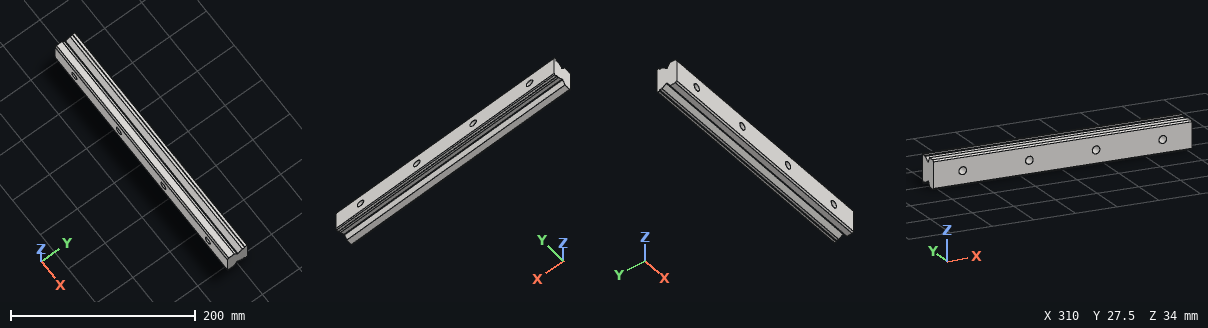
import cadquery as cq

length = 310.0
depth = 27.5
height = 34.0

front_chamfer = 2.0
back_chamfer_y = 1.0
back_chamfer_z = 2.0
head_width = 9.5
groove_drop = 6.0
groove_floor_start = 13.3
groove_floor_width = 1.0
ledge_drop = 2.0
ledge_width = 3.0
lip_width = 4.0

hole_diameter = 9.0
hole_count = 4
hole_pitch = 80.0

half_height = height / 2
front_y = -depth / 2
back_y = depth / 2
lip_front = back_y - lip_width


def upper_outline():
    """Upper half of the cross-section as (y, z) points, front to back."""
    groove_start = front_y + groove_floor_start
    groove_z = half_height - groove_drop
    ledge_z = half_height - ledge_drop
    return [
        (front_y, half_height - front_chamfer),
        (front_y + front_chamfer, half_height),
        (front_y + head_width, half_height),
        (groove_start, groove_z),
        (groove_start + groove_floor_width, groove_z),
        (lip_front - ledge_width, ledge_z),
        (lip_front, ledge_z),
        (lip_front, half_height),
        (back_y - back_chamfer_y, half_height),
        (back_y, half_height - back_chamfer_z),
    ]


def make_rail():
    """Extrude the cross-section along X, symmetric about the middle height."""
    upper = upper_outline()
    lower = [(y, -z) for y, z in reversed(upper)]
    return cq.Workplane("YZ").polyline(upper + lower).close().extrude(length / 2, both=True)


def make_holes():
    """Row of round holes along the middle of the rail."""
    return (
        cq.Workplane("XZ")
        .rarray(hole_pitch, 3, hole_count, 1)
        .circle(hole_diameter / 2)
        .extrude(depth, both=True)
    )


result = make_rail().cut(make_holes())